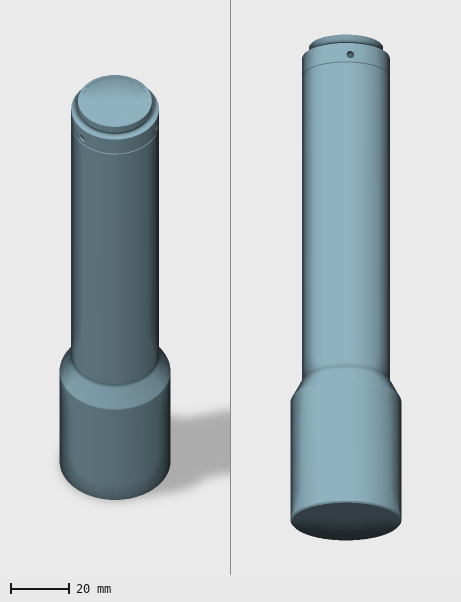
import cadquery as cq
import math

total_height = 173.1
head_diameter = 38.0
tube_diameter = 30.0

head_height = 43.8
cone_top = 51.2
head_edge_chamfer = 0.5
cone_rounding = 1.0

flange_height = 7.1
flange_chamfer = 0.4

mount_height = 4.0
mount_diameter = 25.4
mount_chamfer = 0.2
relief_diameter = 24.4
relief_height = 1.2
window_diameter = 22.8
window_depth = 0.1

screw_diameter = 2.6
screw_depth = 2.0
screw_count = 3
first_screw_angle = 28.0
screw_drop = 4.2

head_radius = head_diameter / 2
tube_radius = tube_diameter / 2
mount_radius = mount_diameter / 2
relief_radius = relief_diameter / 2
flange_top = total_height - mount_height
flange_bottom = flange_top - flange_height
relief_top = flange_top + relief_height
screw_z = flange_top - screw_drop


def revolve_outline(points):
    """Turn a closed half outline of (radius, z) points about the Z axis."""
    return cq.Workplane("XZ").polyline(points).close().revolve(360, (0, 0, 0), (0, 1, 0))


def circle_edge_at(z):
    """Selector for the circular edge lying at height z."""
    reach = head_diameter
    tolerance = 0.01
    return cq.selectors.BoxSelector(
        (-reach, -reach, z - tolerance), (reach, reach, z + tolerance), boundingbox=True
    )


def make_barrel():
    """Head, cone and tube, with both ends of the cone rounded."""
    barrel = revolve_outline([
        (0, 0),
        (head_radius - head_edge_chamfer, 0),
        (head_radius, head_edge_chamfer),
        (head_radius, head_height),
        (tube_radius, cone_top),
        (tube_radius, flange_bottom),
        (0, flange_bottom),
    ])
    for z in (head_height, cone_top):
        barrel = barrel.edges(circle_edge_at(z)).fillet(cone_rounding)
    return barrel


def make_mount():
    """Flange with a chamfered lower edge, thread relief and mount ring."""
    return revolve_outline([
        (0, flange_bottom),
        (tube_radius - flange_chamfer, flange_bottom),
        (tube_radius, flange_bottom + flange_chamfer),
        (tube_radius, flange_top),
        (relief_radius, flange_top),
        (relief_radius, relief_top),
        (mount_radius, relief_top),
        (mount_radius, total_height - mount_chamfer),
        (mount_radius - mount_chamfer, total_height),
        (0, total_height),
    ])


def make_window_recess():
    """Shallow round recess in the top face."""
    floor = cq.Workplane("XY").workplane(offset=total_height - window_depth)
    return floor.circle(window_diameter / 2).extrude(window_depth)


def make_screw_hole(angle):
    """Cutter for a blind radial hole in the flange, at an angle measured from +X."""
    direction = cq.Vector(math.cos(math.radians(angle)), math.sin(math.radians(angle)), 0)
    start = direction * (tube_radius - screw_depth) + cq.Vector(0, 0, screw_z)
    cylinder = cq.Solid.makeCylinder(screw_diameter / 2, 2 * screw_depth, start, direction)
    return cq.Workplane(cylinder)


result = make_barrel().union(make_mount()).cut(make_window_recess())
for index in range(screw_count):
    result = result.cut(make_screw_hole(first_screw_angle + index * 360 / screw_count))